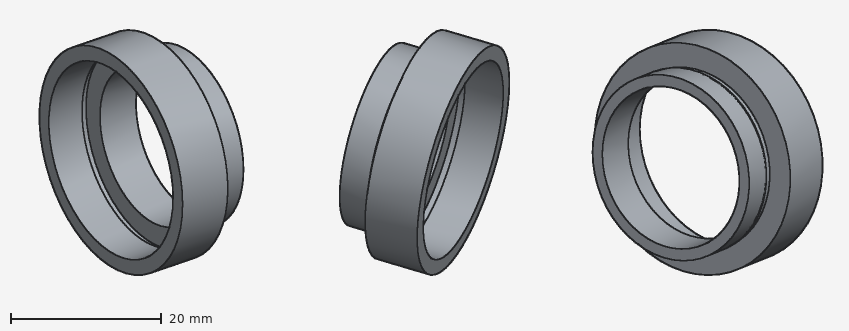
import cadquery as cq

body_diameter = 31.75
spigot_diameter = 25.4
neck_diameter = 25.1
bore_diameter = 22.2
recess_diameter = 27.5
undercut_diameter = 28.4

body_length = 7.5
neck_length = 1.0
spigot_length = 4.0
recess_depth = 6.5
undercut_width = 1.0

body_back = body_length
neck_back = body_back + neck_length
overall_length = neck_back + spigot_length


def cylinder(diameter, start, end):
    """Solid cylinder about the Y axis, from Y = start to Y = end."""
    base = cq.Workplane("XZ", origin=(0, start, 0))
    return base.circle(diameter / 2).extrude(start - end)


def outer_shape():
    """Body, relief neck and spigot in a row."""
    body = cylinder(body_diameter, 0, body_back)
    neck = cylinder(neck_diameter, body_back, neck_back)
    spigot = cylinder(spigot_diameter, neck_back, overall_length)
    return body.union(neck).union(spigot)


def inner_shape():
    """Through bore, front recess and the undercut at the recess floor."""
    bore = cylinder(bore_diameter, 0, overall_length)
    recess = cylinder(recess_diameter, 0, recess_depth)
    undercut = cylinder(undercut_diameter, recess_depth - undercut_width, recess_depth)
    return bore.union(recess).union(undercut)


result = outer_shape().cut(inner_shape())